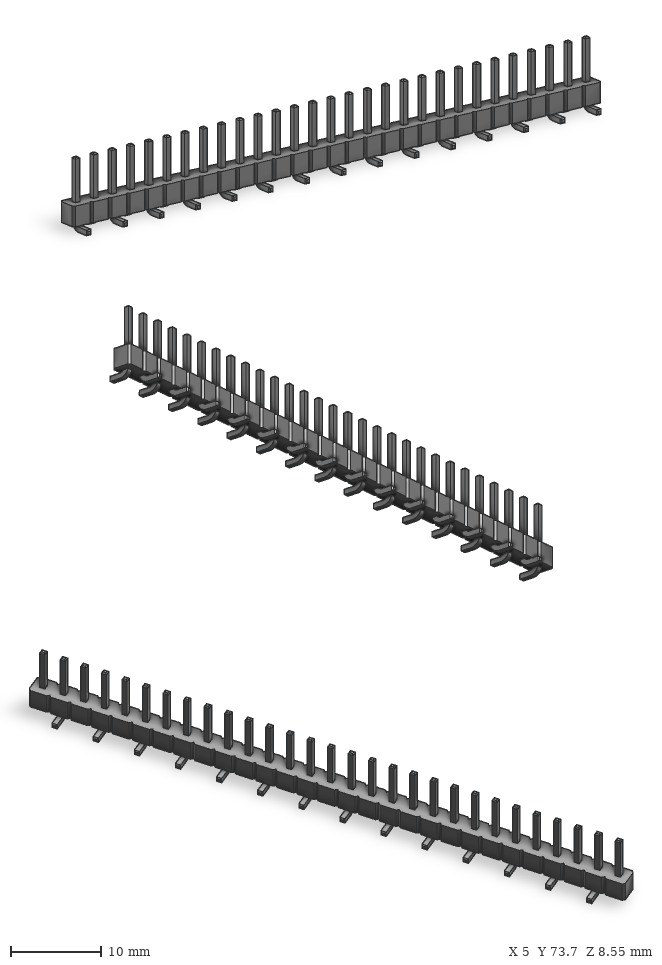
import cadquery as cq

row_length = 73.65
pin_count = 29
total_height = 8.55
foot_span = 5.0

pitch = row_length / pin_count

body_width = 2.5
body_height = 2.4
body_bottom = 0.9
segment_chamfer = 0.26

pin_side = 0.64
tip_length = 0.15
tip_inset = 0.15
inner_bend_radius = pin_side
outer_bend_radius = inner_bend_radius + pin_side


def pin_position(index):
    """Y position of a pin, counted from the -Y end of the row."""
    return (index - (pin_count - 1) / 2) * pitch


def make_body():
    """Row of blocks joined end to end, with chamfered vertical edges that leave V-grooves at the joints."""
    block = (
        cq.Workplane("XY")
        .box(body_width, pitch, body_height, centered=(True, True, False))
        .edges("|Z")
        .chamfer(segment_chamfer)
        .translate((0, 0, body_bottom))
    )
    body = cq.Workplane("XY")
    for index in range(pin_count):
        body = body.add(block.translate((0, pin_position(index), 0)))
    return body.combine()


def make_tip():
    """Tapered square tip with its base on the XY plane, pointing along +Z."""
    end_side = pin_side - 2 * tip_inset
    return (
        cq.Workplane("XY")
        .rect(pin_side, pin_side)
        .workplane(offset=tip_length)
        .rect(end_side, end_side)
        .loft(ruled=True)
    )


def make_pin():
    """Upright pin at the origin whose lower end bends into a foot along +X."""
    half_side = pin_side / 2
    shaft_top = total_height - tip_length
    foot_end = foot_span / 2 - tip_length
    bend_center_x = outer_bend_radius - half_side

    shaft = (
        cq.Workplane("XZ")
        .moveTo(-half_side, shaft_top)
        .lineTo(-half_side, outer_bend_radius)
        .radiusArc((bend_center_x, 0), -outer_bend_radius)
        .lineTo(foot_end, 0)
        .lineTo(foot_end, pin_side)
        .lineTo(bend_center_x, pin_side)
        .radiusArc((half_side, outer_bend_radius), inner_bend_radius)
        .lineTo(half_side, shaft_top)
        .close()
        .extrude(half_side, both=True)
    )
    top_tip = make_tip().translate((0, 0, shaft_top))
    foot_tip = make_tip().rotate((0, 0, 0), (0, 1, 0), 90).translate((foot_end, 0, half_side))
    return shaft.union(top_tip).union(foot_tip)


right_pin = make_pin()
left_pin = right_pin.rotate((0, 0, 0), (0, 0, 1), 180)

result = make_body()
for index in range(pin_count):
    pin = right_pin if index % 2 == 0 else left_pin
    result = result.union(pin.translate((0, pin_position(index), 0)))